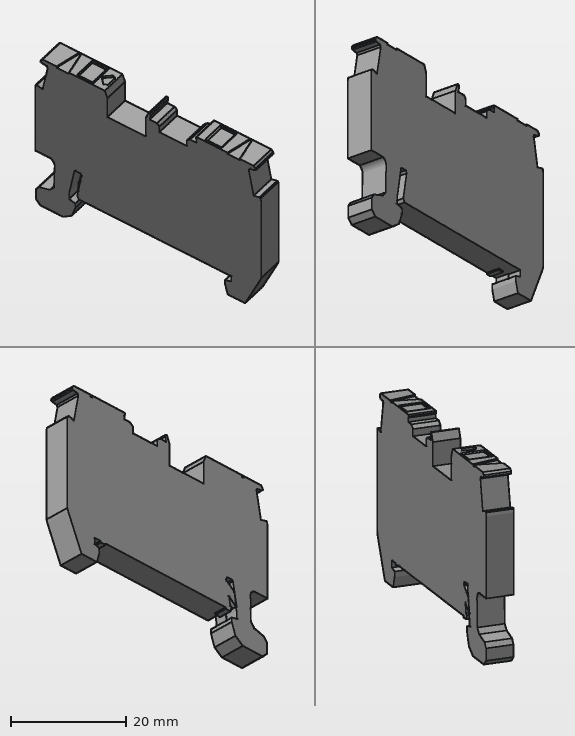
import cadquery as cq

length = 48.6
thickness = 5.2
height = 35.2

shoulder_z = 28.25
left_wall_bottom_z = 12.5
right_wall_bottom_z = 9.25
base_z = 6.05
right_foot_z = 1.3
marker_gap_left = 15.55
marker_gap_right = 23.75
marker_gap_floor = 29.2
centre_pocket_left = 26.72
centre_pocket_right = 32.6
centre_pocket_floor = 31.88
chamfer_foot_z = 33.2
head_step_z = 33.7

rear_start = 2.58
rear_depth = thickness - rear_start
rear_pad_drop = 0.3
rear_pad_z = base_z - rear_pad_drop
rear_overlap = 0.5

wedge_depth = 0.3
wedge_centre = 5.95
wedge_front_width = 2.6
wedge_back_width = 0.5
wedge_back_wall = 0.15
window_depth = 0.2
window_outer_edge = 8.75
window_inner_edge = 12.3
window_front = 0.4
window_back = 4.8
window_rim = 0.25
window_inner_rim = 0.4
arrow_depth = 0.5
arrow_tip = 12.65
arrow_shoulder = 13.8
arrow_base = 14.55
arrow_tip_half_width = 0.25
arrow_shoulder_half_width = 1.35
arrow_base_half_width = 1.05

HEAD_END = [
    (0, shoulder_z - 0.65),
    (0.1, shoulder_z),
    (0.35, shoulder_z + 0.15),
    (1.6, shoulder_z - 0.2),
    (2.65, 33.6),
    (2.5, 34.0),
    (1.4, 34.2),
    (1.1, 34.4),
    (1.2, 34.75),
    (1.6, height),
]

TOP_GAPS = [
    (14.95, height),
    (marker_gap_left, head_step_z),
    (marker_gap_left, marker_gap_floor),
    (marker_gap_right, marker_gap_floor),
    (marker_gap_right, head_step_z - 0.1),
    (24.4, height),
    (24.7, height),
    (24.85, 34.75),
    (24.65, head_step_z),
    (26.2, head_step_z),
    (centre_pocket_left, chamfer_foot_z),
    (centre_pocket_left, centre_pocket_floor),
    (centre_pocket_right, centre_pocket_floor),
    (centre_pocket_right, chamfer_foot_z),
    (33.35, head_step_z + 0.1),
    (34.7, head_step_z + 0.1),
    (34.7, 34.6),
    (34.55, 34.9),
    (34.65, height),
]

RIGHT_FOOT = [
    (length, right_wall_bottom_z),
    (48.35, 8.55),
    (45.15, right_foot_z),
    (41.4, right_foot_z),
    (40.8, 3.4),
    (40.8, 4.4),
    (42.15, 4.85),
    (42.15, base_z),
]

FOOT_SLOT = [
    (9.4, base_z),
    (9.05, 6.75),
    (9.9, 11.75),
    (10.0, 12.0),
    (9.75, left_wall_bottom_z),
    (8.6, left_wall_bottom_z),
    (8.4, 12.25),
    (7.4, 6.75),
    (7.3, 5.0),
]

LEFT_FOOT = [
    (8.65, 4.65),
    (8.7, 3.75),
    (7.8, 1.25),
    (6.03, 0),
    (1.1, 0),
    (0.15, 1.0),
    (0.15, 3.3),
    (0.85, 4.25),
    (3.2, 4.9),
    (4.05, 5.9),
    (4.2, 11.3),
]

NECK_ARC_MIDDLE = (3.95, 11.95)
NECK_ARC_TOP = (3.35, left_wall_bottom_z)

SLOT_TIE = [(7.65, 7.25), (9.48, 8.9), (10.1, 11.8), (9.8, 11.65), (8.05, 10.2)]
LEFT_FOOT_LINING = [(7.2, 5.0), (7.55, 5.0), (7.55, 6.45), (7.75, 7.35), (7.4, 7.35)]
SLOT_LUG = [
    (9.35, 7.15),
    (8.65, 6.65),
    (9.0, rear_pad_z),
    (10.15, rear_pad_z),
    (10.3, base_z + rear_overlap),
]
UNDERSIDE_PAD = [
    (39.3, base_z + rear_overlap),
    (39.3, rear_pad_z),
    (40.45, rear_pad_z),
    (40.75, base_z + rear_overlap),
]
RIGHT_FOOT_LINING = [
    (41.95, 4.75),
    (42.25, 4.75),
    (42.25, base_z + rear_overlap),
    (41.95, base_z + rear_overlap),
]


def rear_plate(points):
    """Extrude an XZ outline from rear_start to the back face."""
    return cq.Workplane("XZ", origin=(0, rear_start, 0)).polyline(points).close().extrude(-rear_depth)


def mirrored_x(x, on_right):
    """Place a distance from the left end, or the same distance from the right end."""
    return length - x if on_right else x


def top_recess(points, depth):
    """Straight-walled cutter sunk into the head tops from an XY outline."""
    return cq.Workplane("XY", origin=(0, 0, height)).polyline(points).close().extrude(-depth)


def wedge_recess(on_right):
    """Wedge that is open at the front face and narrows toward the back face."""
    centre = mirrored_x(wedge_centre, on_right)
    outline = [
        (centre - wedge_front_width / 2, 0),
        (centre + wedge_front_width / 2, 0),
        (centre + wedge_back_width / 2, thickness - wedge_back_wall),
        (centre - wedge_back_width / 2, thickness - wedge_back_wall),
    ]
    return top_recess(outline, wedge_depth)


def window_recess(on_right):
    """Rectangular recess with sloping walls."""
    rim_width = window_inner_edge - window_outer_edge
    rim_depth = window_back - window_front
    floor_width = rim_width - window_rim - window_inner_rim
    floor_depth = rim_depth - 2 * window_rim
    centre_y = (window_front + window_back) / 2
    rim_x = mirrored_x(window_outer_edge + rim_width / 2, on_right)
    floor_x = mirrored_x(window_outer_edge + window_rim + floor_width / 2, on_right)
    return (
        cq.Workplane("XY", origin=(rim_x, centre_y, height))
        .rect(rim_width, rim_depth)
        .workplane(offset=-window_depth)
        .center(floor_x - rim_x, 0)
        .rect(floor_width, floor_depth)
        .loft(ruled=True)
    )


def arrow_recess():
    """Blunt arrow on the left head, pointing to the left end."""
    middle = thickness / 2
    outline = [
        (arrow_tip, middle - arrow_tip_half_width),
        (arrow_shoulder, middle - arrow_shoulder_half_width),
        (arrow_base, middle - arrow_base_half_width),
        (arrow_base, middle + arrow_base_half_width),
        (arrow_shoulder, middle + arrow_shoulder_half_width),
        (arrow_tip, middle + arrow_tip_half_width),
    ]
    return top_recess(outline, arrow_depth)


right_head_end = [(length - x, z) for x, z in reversed(HEAD_END)]
left_wall_bottom = [NECK_ARC_TOP, (0, left_wall_bottom_z)]
heads = HEAD_END + TOP_GAPS + right_head_end
feet = RIGHT_FOOT + FOOT_SLOT + LEFT_FOOT
result = (
    cq.Workplane("XZ")
    .polyline(left_wall_bottom + heads + feet)
    .threePointArc(NECK_ARC_MIDDLE, NECK_ARC_TOP)
    .close()
    .extrude(-thickness)
)

for shape in (SLOT_TIE, LEFT_FOOT_LINING, SLOT_LUG, UNDERSIDE_PAD, RIGHT_FOOT_LINING):
    result = result.union(rear_plate(shape))

for on_right in (False, True):
    result = result.cut(wedge_recess(on_right))
    result = result.cut(window_recess(on_right))
result = result.cut(arrow_recess())